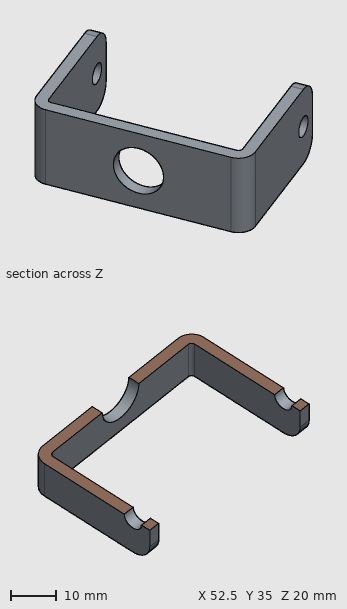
import cadquery as cq

width = 52.5
depth = 35.0
height = 20.0

thickness = 3.0
inner_bend_radius = 1.0
outer_bend_radius = inner_bend_radius + thickness

web_hole_diameter = 12.0

arm_corner_radius = 5.0
arm_hole_diameter = 5.0
arm_hole_end_distance = 5.0


def rounded_block(block_width, front_y, back_y, front_radius):
    """Full-height block centred on X and Z, with its two front vertical edges rounded."""
    return (
        cq.Workplane("XY")
        .box(block_width, back_y - front_y, height)
        .translate((0, (front_y + back_y) / 2, 0))
        .edges("|Z and <Y")
        .fillet(front_radius)
    )


def bent_strip():
    """Web along X with an arm at each end running towards +Y."""
    outside = rounded_block(width, 0, depth, outer_bend_radius)
    inside = rounded_block(width - 2 * thickness, thickness, depth, inner_bend_radius)
    return outside.cut(inside)


def round_arm_ends(bracket):
    """Round the top and bottom corners at the free end of both arms."""
    return bracket.faces(">Y").edges("|X").fillet(arm_corner_radius)


def web_hole():
    """Cutter through the web along Y."""
    return (
        cq.Workplane("XZ")
        .circle(web_hole_diameter / 2)
        .extrude(-thickness)
    )


def arm_holes():
    """Cutter through both arms along X."""
    return (
        cq.Workplane("YZ")
        .center(depth - arm_hole_end_distance, 0)
        .circle(arm_hole_diameter / 2)
        .extrude(width / 2, both=True)
    )


result = round_arm_ends(bent_strip()).cut(web_hole()).cut(arm_holes())